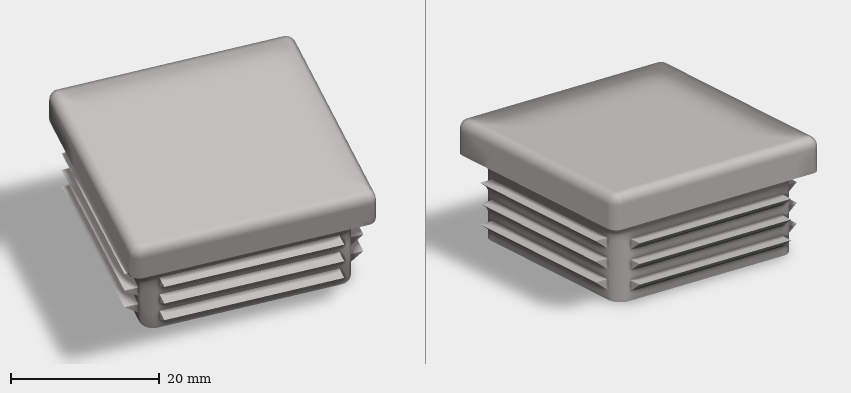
import cadquery as cq

cap_width = 35
total_height = 17.0
cap_height = 5.0
cap_radius = 1.4

body_width = 30.0
body_height = total_height - cap_height
body_corner_radius = 2.0

fin_count = 3
fin_pitch = 3.0
fin_thickness = 1.58
fin_length = 25.6
fin_reach = 2.0
fin_root_overlap = 0.35
first_fin_drop = 3.0


def make_cap():
    cap = cq.Workplane("XY").workplane(offset=body_height).rect(cap_width, cap_width).extrude(cap_height)
    return cap.edges("|Z or >Z").fillet(cap_radius)


def make_body():
    body = cq.Workplane("XY").rect(body_width, body_width).extrude(body_height)
    return body.edges("|Z").fillet(body_corner_radius)


def make_fin(top_z):
    """Fin on the +X side with a flat top and a sloping underside."""
    root_x = body_width / 2
    inner_x = root_x - fin_root_overlap
    root_z = top_z - fin_thickness
    profile = [
        (inner_x, top_z),
        (root_x + fin_reach, top_z),
        (root_x, root_z),
        (inner_x, root_z),
    ]
    return cq.Workplane("XZ").polyline(profile).close().extrude(fin_length / 2, both=True)


result = make_body().union(make_cap())
for level in range(fin_count):
    fin = make_fin(body_height - first_fin_drop - level * fin_pitch)
    for side_angle in (0, 90, 180, 270):
        result = result.union(fin.rotate((0, 0, 0), (0, 0, 1), side_angle))